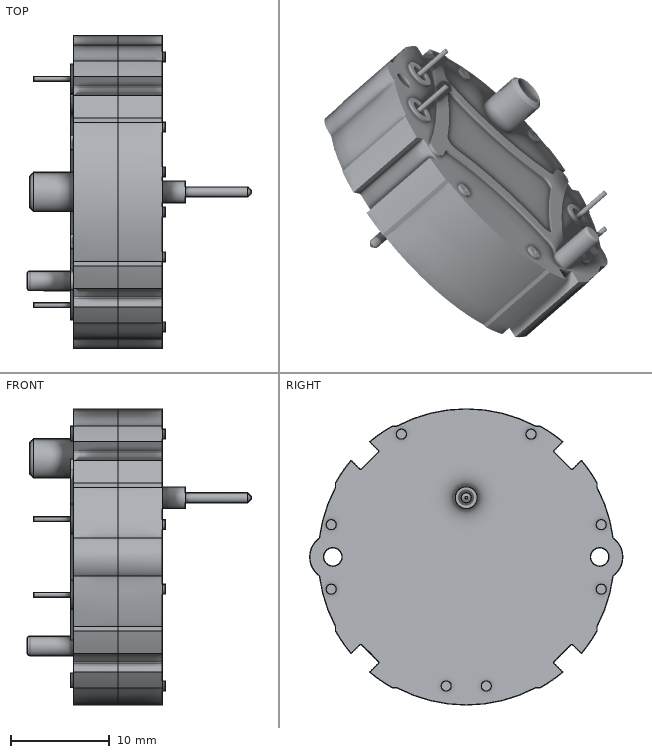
import cadquery as cq
import math

HALF_THICKNESS = 4.5
CASE_RADIUS = 15.0
PAD_RADIUS = 15.22
PAD_LIMIT = 13.25
LUG_RADIUS = 2.35
LUG_REACH = 15.85
LUG_Y = LUG_REACH - LUG_RADIUS
MOUNT_HOLE_DIAMETER = 1.85
NOTCH_WIDTH = 2.65
NOTCH_FLOOR = 13.8
NOTCH_CORNER_RADIUS = 0.13
NOTCH_ANGLES = (45, 135, 225, 315)

RELIEF_HEIGHT = 0.3
ARM_REACH = 9.0
ARM_RADIUS = 0.905
SIDE_ARC_RADIUS = 40.0
SIDE_POCKET_WIDTH = 1.62
END_ARC_RADIUS = 25.0
END_ARC_Z = 31.3
END_POCKET_WIDTH = 1.505
FRAME_FILLET = 1.0
POCKET_FILLET = 1.0

PIN_SEAT_DIAMETER = 3.0
PIN_SEAT_BORE = 1.87
PIN_Y = 11.45
PIN_Z = 3.85
PIN_DIAMETER = 0.5
PIN_LENGTH = 4.03

STUD_DIAMETER = 1.5
STUD_BORE = 0.5
STUD_Y = 5.0
STUD_Z = 12.5

BOSS_DIAMETER = 4.0
BOSS_BORE = 3.0
BOSS_HEIGHT = 4.45
BOSS_CHAMFER = 0.4
BOSS_Z = 10.0
PEG_DIAMETER = 2.0
PEG_HEIGHT = 4.7
PEG_FILLET = 0.3

FOOT_DIAMETER = 1.0
SIDE_FOOT_Y = 13.65
SIDE_FOOT_Z = 3.25
TOP_FOOT_Y = 6.55
TOP_FOOT_Z = 12.43
BOTTOM_FOOT_Y = 2.03
BOTTOM_FOOT_Z = -13.05

SHAFT_Z = 6.0
COLLAR_DIAMETER = 2.22
COLLAR_LENGTH = 2.3
SHAFT_DIAMETER = 1.0
SHAFT_LENGTH = 9.0
SHAFT_CHAMFER = 0.38


def disc(x, length, diameter, centers):
    """Cylinders along +X that start at x, one at each (y, z)."""
    return cq.Workplane("YZ", origin=(x, 0, 0)).pushPoints(centers).circle(diameter / 2).extrude(length)


def block(x, length, width, height):
    """Box along +X that starts at x, centred on the case axis."""
    return cq.Workplane("YZ", origin=(x, 0, 0)).rect(width, height).extrude(length)


def mirrored(y, z):
    """The four points at +-y, +-z."""
    return [(side * y, end * z) for side in (-1, 1) for end in (-1, 1)]


BASE_FACE = -HALF_THICKNESS
PIN_CENTERS = mirrored(PIN_Y, PIN_Z)
FOOT_CENTERS = mirrored(SIDE_FOOT_Y, SIDE_FOOT_Z) + [
    (-TOP_FOOT_Y, TOP_FOOT_Z),
    (TOP_FOOT_Y, TOP_FOOT_Z),
    (-BOTTOM_FOOT_Y, BOTTOM_FOOT_Z),
    (BOTTOM_FOOT_Y, BOTTOM_FOOT_Z),
]
SIDE_ARC_Y = ARM_REACH + math.sqrt((SIDE_ARC_RADIUS + ARM_RADIUS) ** 2 - ARM_REACH**2)


def case_half(x):
    """Plain case half that starts at x: rim, pads, lugs, mounting holes and corner notches."""
    lug_centers = [(-LUG_Y, 0), (LUG_Y, 0)]
    pads = disc(x, HALF_THICKNESS, 2 * PAD_RADIUS, [(0, 0)])
    pads = pads.intersect(block(x, HALF_THICKNESS, 2 * PAD_LIMIT, 2 * PAD_LIMIT))
    half = disc(x, HALF_THICKNESS, 2 * CASE_RADIUS, [(0, 0)]).union(pads)
    half = half.union(disc(x, HALF_THICKNESS, 2 * LUG_RADIUS, lug_centers))
    half = half.cut(disc(x, HALF_THICKNESS, MOUNT_HOLE_DIAMETER, lug_centers))
    notch_height = 2 * (PAD_RADIUS - NOTCH_FLOOR)
    notch = (
        block(x, HALF_THICKNESS, NOTCH_WIDTH, notch_height)
        .translate((0, 0, NOTCH_FLOOR + notch_height / 2))
        .edges("|X and <Z")
        .fillet(NOTCH_CORNER_RADIUS)
    )
    for angle in NOTCH_ANGLES:
        half = half.cut(notch.rotate((0, 0, 0), (1, 0, 0), angle))
    return half


def waisted_plate(x, side_offset, end_offset):
    """Square plate with four concave sides, set in from the frame edges by the given offsets."""
    plate = block(x, RELIEF_HEIGHT, 2 * ARM_REACH, 2 * ARM_REACH)
    side_diameter = 2 * (SIDE_ARC_RADIUS + side_offset)
    end_diameter = 2 * (END_ARC_RADIUS + end_offset)
    plate = plate.cut(disc(x, RELIEF_HEIGHT, side_diameter, [(-SIDE_ARC_Y, 0), (SIDE_ARC_Y, 0)]))
    return plate.cut(disc(x, RELIEF_HEIGHT, end_diameter, [(0, -END_ARC_Z), (0, END_ARC_Z)]))


def curved_bar(x):
    """Round-ended bar on the +Y side that follows the side arc of the frame."""
    middle = SIDE_ARC_RADIUS + ARM_RADIUS
    outer = SIDE_ARC_RADIUS
    inner = SIDE_ARC_RADIUS + 2 * ARM_RADIUS
    half_angle = math.asin(ARM_REACH / middle)
    tip_angle = half_angle + ARM_RADIUS / middle

    def point(radius, angle):
        return SIDE_ARC_Y - radius * math.cos(angle), radius * math.sin(angle)

    return (
        cq.Workplane("YZ", origin=(x, 0, 0))
        .moveTo(*point(outer, -half_angle))
        .threePointArc(point(outer, 0), point(outer, half_angle))
        .threePointArc(point(middle, tip_angle), point(inner, half_angle))
        .threePointArc(point(inner, 0), point(inner, -half_angle))
        .threePointArc(point(middle, -tip_angle), point(outer, -half_angle))
        .close()
        .extrude(RELIEF_HEIGHT)
    )


def raised_frame(x):
    """Raised frame with four round-ended arms and an open, waisted centre."""
    bar = curved_bar(x)
    frame = waisted_plate(x, ARM_RADIUS, 0).union(bar).union(bar.mirror("XZ"))
    inside_corners = cq.selectors.BoxSelector(
        (x, -ARM_REACH, -ARM_REACH), (x + RELIEF_HEIGHT, ARM_REACH, ARM_REACH)
    )
    frame = frame.edges("|X").edges(inside_corners).fillet(FRAME_FILLET)
    pocket = waisted_plate(x, SIDE_POCKET_WIDTH, END_POCKET_WIDTH)
    return frame.cut(pocket.edges("|X").fillet(POCKET_FILLET))


def make_base():
    """Case half with the raised frame, pin seats, studs, hollow boss and peg on its -X face."""
    relief_x = BASE_FACE - RELIEF_HEIGHT
    stud_centers = mirrored(STUD_Y, STUD_Z)
    base = case_half(BASE_FACE).union(raised_frame(relief_x))
    base = base.union(disc(relief_x, RELIEF_HEIGHT, PIN_SEAT_DIAMETER, PIN_CENTERS))
    base = base.cut(disc(relief_x, RELIEF_HEIGHT, PIN_SEAT_BORE, PIN_CENTERS))
    base = base.union(disc(relief_x, RELIEF_HEIGHT, STUD_DIAMETER, stud_centers))
    base = base.cut(disc(relief_x, RELIEF_HEIGHT, STUD_BORE, stud_centers))

    boss_center = [(0, BOSS_Z)]
    boss = disc(BASE_FACE - BOSS_HEIGHT, BOSS_HEIGHT, BOSS_DIAMETER, boss_center)
    boss = boss.faces("<X").chamfer(BOSS_CHAMFER)
    boss = boss.cut(disc(BASE_FACE - BOSS_HEIGHT, BOSS_HEIGHT, BOSS_BORE, boss_center))

    peg = disc(BASE_FACE - PEG_HEIGHT, PEG_HEIGHT, PEG_DIAMETER, [(-ARM_REACH, -ARM_REACH)])
    peg = peg.faces("<X").edges().fillet(PEG_FILLET)
    return base.union(boss).union(peg)


def make_cover():
    """Case half with small feet on its +X face."""
    feet = disc(HALF_THICKNESS, RELIEF_HEIGHT, FOOT_DIAMETER, FOOT_CENTERS)
    return case_half(0).union(feet)


def make_shaft():
    """Stepped output shaft that stands on the cover."""
    center = [(0, SHAFT_Z)]
    shaft = disc(HALF_THICKNESS, SHAFT_LENGTH, SHAFT_DIAMETER, center)
    shaft = shaft.faces(">X").chamfer(SHAFT_CHAMFER)
    return shaft.union(disc(HALF_THICKNESS, COLLAR_LENGTH, COLLAR_DIAMETER, center))


def make_pin(center):
    """Contact pin that stands on the floor of its seat."""
    return disc(BASE_FACE - PIN_LENGTH, PIN_LENGTH, PIN_DIAMETER, [center])


base = make_base()
cover = make_cover()
shaft = make_shaft()
pins = [make_pin(center) for center in PIN_CENTERS]

result = cq.Compound.makeCompound([body.solids().val() for body in (base, cover, shaft, *pins)])